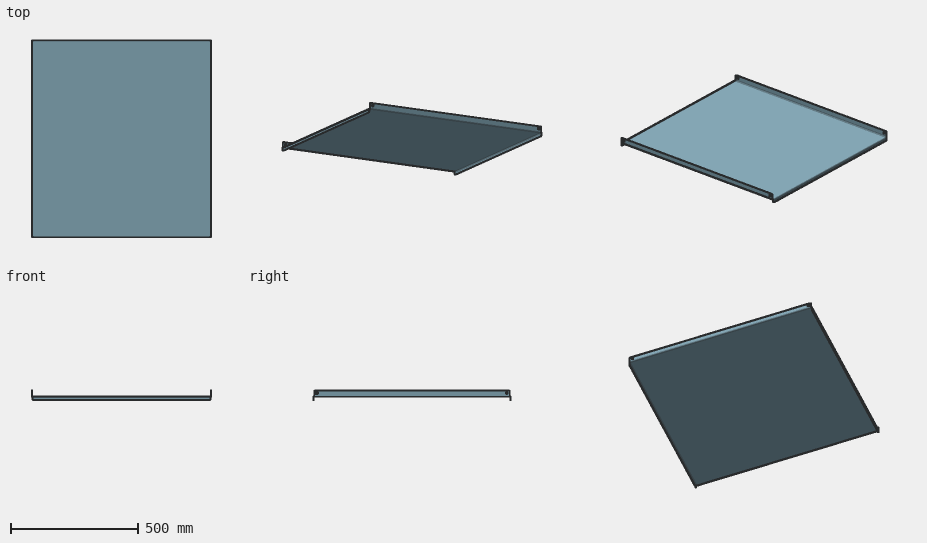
import cadquery as cq

width = 706.0
depth = 775.0
height = 38.0

thickness = 2.0
inner_bend_radius = 1.0
outer_bend_radius = inner_bend_radius + thickness

side_flange_height = 25.0
end_flange_height = height - side_flange_height + thickness
flange_corner_radius = 5.0

opening_width = 6.5
opening_drop = 10.0
opening_center_z = side_flange_height - opening_drop
opening_inset = 12.5

side_flange_length = depth - 2 * outer_bend_radius
end_flange_length = width - 2 * outer_bend_radius


def bent_flange(flange_height, flange_length):
    """Flange along Y at X = 0, turned up from a sheet whose underside is at Z = 0."""
    profile = (
        cq.Workplane("XZ")
        .moveTo(outer_bend_radius, 0)
        .radiusArc((0, outer_bend_radius), outer_bend_radius)
        .lineTo(0, flange_height)
        .lineTo(thickness, flange_height)
        .lineTo(thickness, outer_bend_radius)
        .radiusArc((outer_bend_radius, thickness), -inner_bend_radius)
        .close()
    )
    flange = profile.extrude(flange_length / 2, both=True)
    return flange.edges("|X and >Z").fillet(flange_corner_radius)


def side_openings():
    """Hole near the back end and slot open at the front end, through both side flanges."""
    back_end = side_flange_length / 2
    hole = (
        cq.Workplane("YZ")
        .center(back_end - opening_inset, opening_center_z)
        .circle(opening_width / 2)
        .extrude(width / 2, both=True)
    )
    slot = (
        cq.Workplane("YZ")
        .center(-back_end, opening_center_z)
        .slot2D(2 * opening_inset + opening_width, opening_width)
        .extrude(width / 2, both=True)
    )
    return hole.union(slot)


panel = cq.Workplane("XY").box(
    end_flange_length, side_flange_length, thickness, centered=(True, True, False)
)

left_flange = bent_flange(side_flange_height, side_flange_length).translate((-width / 2, 0, 0))
right_flange = left_flange.mirror("YZ")

front_flange = (
    bent_flange(end_flange_height, end_flange_length)
    .mirror("XY")
    .rotate((0, 0, 0), (0, 0, 1), 90)
    .translate((0, -depth / 2, thickness))
)
back_flange = front_flange.mirror("XZ")

tray = panel
for flange in (left_flange, right_flange, front_flange, back_flange):
    tray = tray.union(flange)

result = tray.cut(side_openings())